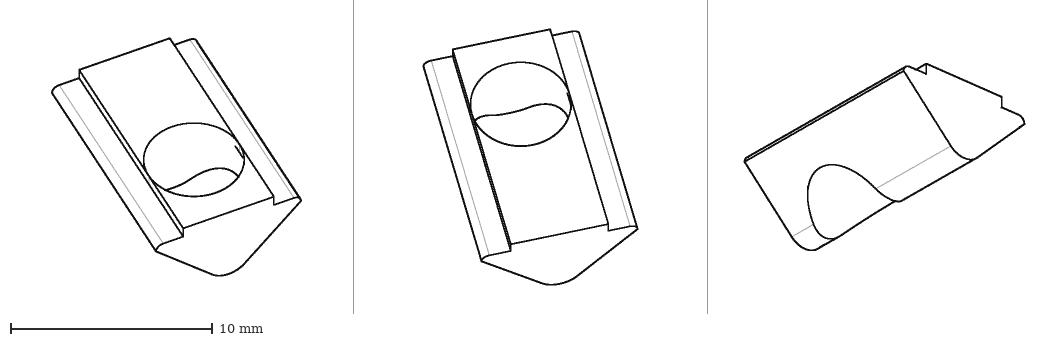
import cadquery as cq
import math

length = 12.0
width = 8.0
height = 4.48
rib_width = 5.0
rib_height = 0.6
hole_diameter = 5.0
hole_x = 8.0
edge_radius = 0.4

half_width = width / 2
half_rib = rib_width / 2
flange_z = height - rib_height
diagonal = math.sqrt(0.5)

edge_y = half_width - edge_radius
edge_z = flange_z - edge_radius
edge_mid_y = edge_y + edge_radius * diagonal
edge_mid_z = edge_z + edge_radius * diagonal

keel_radius = (half_width - edge_z) / (math.sqrt(2) - 1)
keel_y = keel_radius * diagonal
keel_z = keel_radius - keel_y

section = (
    cq.Workplane("YZ")
    .moveTo(-half_rib, height)
    .lineTo(half_rib, height)
    .lineTo(half_rib, flange_z)
    .lineTo(edge_y, flange_z)
    .threePointArc((edge_mid_y, edge_mid_z), (half_width, edge_z))
    .lineTo(keel_y, keel_z)
    .threePointArc((0, 0), (-keel_y, keel_z))
    .lineTo(-half_width, edge_z)
    .threePointArc((-edge_mid_y, edge_mid_z), (-edge_y, flange_z))
    .lineTo(-half_rib, flange_z)
    .close()
)
bar = section.extrude(length)

hole = cq.Workplane("XY").center(hole_x, 0).circle(hole_diameter / 2).extrude(height)

result = bar.cut(hole)